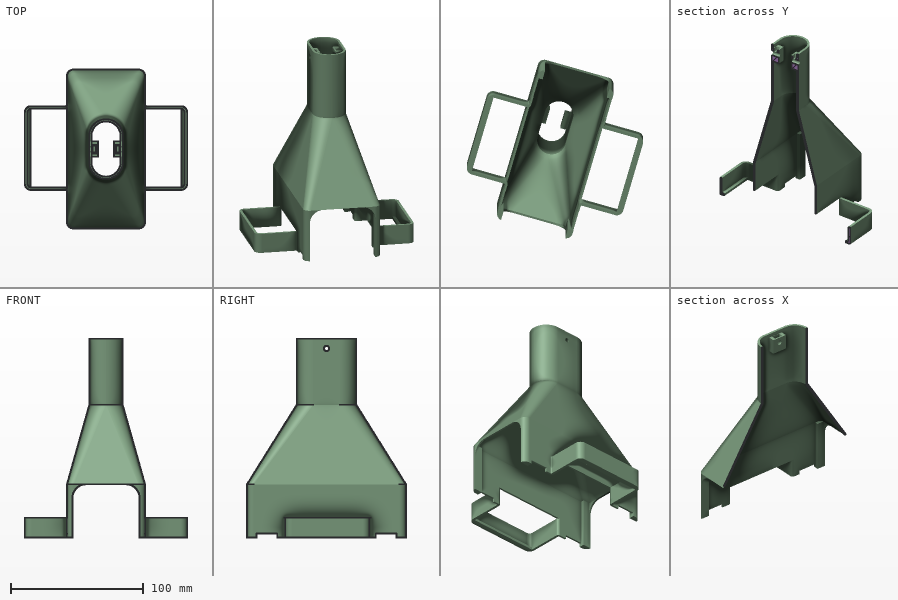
import cadquery as cq
import math

BODY_HEIGHT = 40.0
SHOULDER_HEIGHT = 100.0
TOTAL_HEIGHT = 150.0
WALL = 1.5

BODY_WIDTH = 59.0
BODY_LENGTH = 120.0
BODY_RADIUS = 5.0

NECK_WIDTH = 25.25
NECK_LENGTH = 45.0
NECK_RADIUS = 12.5
NECK_WALL = 1.75

PASSAGE_WIDTH = 50.4
POST_DEPTH = 7.3

ARCH_RADIUS = 10.0

NOTCH_LENGTH = 15.4
NOTCH_HEIGHT = 3.0

OVERALL_WIDTH = 122.6
HANDLE_LENGTH = 63.4
HANDLE_CENTER_Y = 0.7
HANDLE_HEIGHT = 15.0
HANDLE_WALL = 2.0
HANDLE_RADIUS = 5.0
HANDLE_FLARE = 1.0
WINDOW_ROUNDING = 2.0
LIP_WIDTH = 2.5
LIP_HEIGHT = 2.0

SCREW_DIAMETER = 3.75
SCREW_HEIGHT = 142.5
BOSS_DEPTH = 5.0
BOSS_LENGTH = 12.0
BOSS_TOP = 147.0
BOSS_HEIGHT = 12.0
POCKET_WIDTH = 3.8
POCKET_LENGTH = 6.8
POCKET_DEPTH = 2.6
POCKET_DRAFT = 0.8
POCKET_WALL = 1.0

NECK_INNER_X = NECK_WIDTH / 2 - NECK_WALL
BODY_INNER_X = BODY_WIDTH / 2 - WALL
CAVITY_LENGTH = BODY_LENGTH - 2 * POST_DEPTH


def box(x_min, x_max, y_min, y_max, z_min, z_max):
    """Box given by its limits along each axis."""
    size = (x_max - x_min, y_max - y_min, z_max - z_min)
    return cq.Workplane("XY").box(*size, centered=False).translate((x_min, y_min, z_min))


def corner_arcs(width, length, radius, z):
    """Start, middle and end points of the quarter circles of a rounded rectangle."""
    arcs = []
    for quadrant, (sign_x, sign_y) in enumerate([(1, 1), (-1, 1), (-1, -1), (1, -1)]):
        center = cq.Vector(sign_x * (width / 2 - radius), sign_y * (length / 2 - radius), z)
        points = []
        for turn in (0, 0.5, 1):
            angle = math.pi / 2 * (quadrant + turn)
            points.append(center + cq.Vector(math.cos(angle), math.sin(angle), 0) * radius)
        arcs.append(points)
    return arcs


def rounded_outline(arcs):
    """Closed list of edges: each quarter circle followed by the straight to the next one."""
    edges = []
    for arc, next_arc in zip(arcs, arcs[1:] + arcs[:1]):
        edges.append(cq.Edge.makeThreePointArc(*arc))
        edges.append(cq.Edge.makeLine(arc[2], next_arc[0]))
    return edges


def hood(body_inset, neck_inset):
    """Solid between the outline of the body and that of the neck, with ruled sides."""
    lower = rounded_outline(
        corner_arcs(
            BODY_WIDTH - 2 * body_inset,
            BODY_LENGTH - 2 * body_inset,
            BODY_RADIUS - body_inset,
            BODY_HEIGHT,
        )
    )
    upper = rounded_outline(
        corner_arcs(
            NECK_WIDTH - 2 * neck_inset,
            NECK_LENGTH - 2 * neck_inset,
            NECK_RADIUS - neck_inset,
            SHOULDER_HEIGHT,
        )
    )
    faces = [cq.Face.makeRuledSurface(low, high) for low, high in zip(lower, upper)]
    for outline in (lower, upper):
        faces.append(cq.Face.makeFromWires(cq.Wire.assembleEdges(outline)))
    return cq.Workplane(cq.Solid.makeSolid(cq.Shell.makeShell(faces)).fix())


def body_block():
    block = cq.Workplane("XY").rect(BODY_WIDTH, BODY_LENGTH).extrude(BODY_HEIGHT)
    return block.edges("|Z").fillet(BODY_RADIUS)


def neck(inset):
    base = cq.Workplane("XY").workplane(offset=SHOULDER_HEIGHT)
    tube = base.rect(NECK_WIDTH - 2 * inset, NECK_LENGTH - 2 * inset).extrude(TOTAL_HEIGHT - SHOULDER_HEIGHT)
    return tube.edges("|Z").fillet(NECK_RADIUS - inset)


def body_cavity():
    """Space between the long walls, closed at its ends by the posts."""
    half_length = CAVITY_LENGTH / 2
    return box(-BODY_INNER_X, BODY_INNER_X, -half_length, half_length, 0, BODY_HEIGHT)


def passage():
    """Opening from end to end between the posts."""
    half = PASSAGE_WIDTH / 2
    return box(-half, half, -BODY_LENGTH / 2, BODY_LENGTH / 2, 0, BODY_HEIGHT)


def arch_webs():
    """Thin plates that round off the upper corners of the passage at each end."""
    half = PASSAGE_WIDTH / 2
    end_y = BODY_LENGTH / 2
    plate = box(-half, half, end_y - WALL, end_y, BODY_HEIGHT - ARCH_RADIUS, BODY_HEIGHT)
    arch = passage().edges("|Y and >Z").fillet(ARCH_RADIUS)
    web = plate.cut(arch).intersect(body_block())
    return web.union(web.mirror("XZ"))


def notches():
    """Two notches through both long walls, next to the posts."""
    outer_y = CAVITY_LENGTH / 2
    half_width = BODY_WIDTH / 2
    notch = box(-half_width, half_width, outer_y - NOTCH_LENGTH, outer_y, 0, NOTCH_HEIGHT)
    return notch.union(notch.mirror("XZ"))


def corner_cusp(corner_x, corner_y, side, radius):
    """Prism between a square corner and the circle that touches both of its sides.

    The sides of the corner run toward +X and toward the given Y side.
    """
    center_x = corner_x + radius
    center_y = corner_y + side * radius
    square = box(
        corner_x, center_x, min(corner_y, center_y), max(corner_y, center_y), 0, HANDLE_HEIGHT
    )
    circle = cq.Workplane("XY").center(center_x, center_y).circle(radius).extrude(HANDLE_HEIGHT)
    return square.cut(circle)


def handle():
    """Loop on the +X side, running from the inner face of the long wall."""
    outer_x = OVERALL_WIDTH / 2
    outer_y = HANDLE_LENGTH / 2
    wall_x = BODY_WIDTH / 2
    outer = box(BODY_INNER_X, outer_x, -outer_y, outer_y, 0, HANDLE_HEIGHT)
    outer = outer.edges("|Z and >X").fillet(HANDLE_RADIUS)
    for side in (-1, 1):
        edge_y = side * outer_y
        outer = outer.union(corner_cusp(wall_x, edge_y, side, HANDLE_FLARE))
    return outer


def handle_window():
    """Space inside the loop; it passes through the long wall, where its edges are rounded."""
    inner_x = OVERALL_WIDTH / 2 - HANDLE_WALL
    inner_y = HANDLE_LENGTH / 2 - HANDLE_WALL
    window = box(BODY_INNER_X, inner_x, -inner_y, inner_y, 0, HANDLE_HEIGHT)
    window = window.edges("|Z and >X").fillet(HANDLE_RADIUS - HANDLE_WALL)
    for side in (-1, 1):
        edge_y = side * inner_y
        window = window.union(corner_cusp(BODY_INNER_X, edge_y, side, WINDOW_ROUNDING))
    return window


def handle_lip():
    """Ledge along the foot of the loop's outer wall."""
    inner_x = OVERALL_WIDTH / 2 - HANDLE_WALL
    inner_y = HANDLE_LENGTH / 2 - HANDLE_WALL
    lip = box(inner_x - LIP_WIDTH, inner_x + HANDLE_WALL / 2, -inner_y, inner_y, 0, LIP_HEIGHT)
    return lip


def boss():
    """Screw boss on the +X inner face of the neck."""
    half = BOSS_LENGTH / 2
    inner_x = NECK_INNER_X - BOSS_DEPTH
    block = box(
        inner_x, NECK_INNER_X + NECK_WALL / 2, -half, half, BOSS_TOP - BOSS_HEIGHT, BOSS_TOP
    )
    pocket = (
        cq.Workplane("XY")
        .workplane(offset=BOSS_TOP)
        .center(inner_x + POCKET_WALL + POCKET_WIDTH / 2, 0)
        .rect(POCKET_WIDTH, POCKET_LENGTH)
        .workplane(offset=-POCKET_DEPTH)
        .rect(POCKET_WIDTH - 2 * POCKET_DRAFT, POCKET_LENGTH - 2 * POCKET_DRAFT)
        .loft(ruled=True)
    )
    return block.cut(pocket)


def screw_hole():
    hole = cq.Workplane("YZ").center(0, SCREW_HEIGHT).circle(SCREW_DIAMETER / 2)
    return hole.extrude(NECK_WIDTH / 2, both=True)


def on_both_sides(feature):
    return feature.union(feature.mirror("YZ"))


result = body_block().union(hood(0, 0)).union(neck(0))
result = result.cut(hood(WALL, NECK_WALL)).cut(neck(NECK_WALL))
result = result.cut(body_cavity()).cut(passage()).cut(notches())
result = result.union(arch_webs())
handle_place = (0, HANDLE_CENTER_Y, 0)
result = result.union(on_both_sides(handle()).translate(handle_place))
result = result.cut(on_both_sides(handle_window()).translate(handle_place))
result = result.union(on_both_sides(handle_lip()).translate(handle_place))
result = result.union(on_both_sides(boss())).cut(screw_hole())